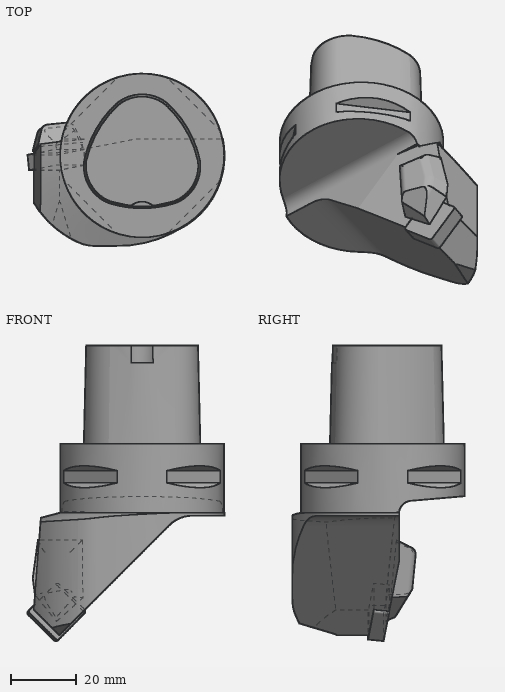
import cadquery as cq
import math


shank_height = 30.0
shank_base_radius = 17.4
shank_top_radius = 16.7
lobe_height = 1.3
lobe_half_angle = 25
key_radius = 5.0
key_depth = 5.3
key_floor_y = -14.1

flange_radius = 25.0
flange_height = 21.0
groove_floor_distance = 22.2
groove_floor_width = 3.7
groove_mouth_width = 6.7
groove_middle_z = -10.1

tip_z = -60.3
head_radius = 25.2
head_back_y = -27.6
head_front_y = 5.1
outline_left_x = -36.1
outline_left_y = -7.2
left_round_middle = (-28.45, -20.3)
left_round_end = (-19.6, -26.5)
back_blend_middle = (-17.0, -27.4)
back_flat_left_x = -14.2
back_flat_right_x = -8.1
back_round_middle = (2.2, -26.4)
back_right_x = 10.8
head_top_slope = 15
side_top_x = -30.8
side_bottom_x = -33.1
side_bottom_z = -50.7
lip_thickness = 1.0
underside_offset = 33.2
underside_round = 9.9
heel_start_y = -14.3
heel_start_z = -58.3
heel_slope = 0.3

clearance_edge_z = -16.1
clearance_inner_y = 8.2
clearance_inner_z = -17.5
clearance_round_middle = (6.1, -18.6)
clearance_wall_z = -20.6

insert_side = 12.7
insert_thickness = 4.8
insert_nose_radius = 0.8
insert_x = -26.4
insert_z = -51.7
insert_edge_y = 0.2
rake_angle = 8

clamp_top_z = -29.3
clamp_right_x = -18.1
clamp_corners = [
    (-31.6, clamp_top_z),
    (-33.3, -41.1),
    (-32.7, -46.1),
    (-26.2, -54.2),
    (clamp_right_x, -47),
    (clamp_right_x, clamp_top_z),
]
clamp_height = 6.9
clamp_taper = 20
clamp_round = 2.7
clamp_nose_top_y = 8.6
clamp_nose_top_z = -45.2
clamp_nose_slope = 0.62

reach = 72.3

rake_rise = math.tan(math.radians(rake_angle)) / math.sqrt(2)
insert_y = insert_edge_y + insert_side / 2 * math.sin(math.radians(rake_angle))
rake_plane = cq.Plane(
    origin=(insert_x, insert_y, insert_z),
    xDir=(1, rake_rise, 0),
    normal=(-rake_rise, 1, -rake_rise),
)


def lobed_point(mean_radius, angle):
    """Point of the three-lobed outline at an angle in degrees."""
    radius = mean_radius + lobe_height * math.cos(math.radians(3 * (angle - 90)))
    return radius * math.cos(math.radians(angle)), radius * math.sin(math.radians(angle))


def lobed_wire(mean_radius, z):
    """Closed outline of three lobe arcs and three flatter arcs."""
    outline = cq.Workplane("XY", origin=(0, 0, z)).moveTo(*lobed_point(mean_radius, 90 - lobe_half_angle))
    for lobe_angle in (90, 210, 330):
        outline = outline.threePointArc(
            lobed_point(mean_radius, lobe_angle),
            lobed_point(mean_radius, lobe_angle + lobe_half_angle),
        )
        outline = outline.threePointArc(
            lobed_point(mean_radius, lobe_angle + 60),
            lobed_point(mean_radius, lobe_angle + 120 - lobe_half_angle),
        )
    return outline.close().val()


def make_shank():
    base = lobed_wire(shank_base_radius, 0)
    top = lobed_wire(shank_top_radius, shank_height)
    shank = cq.Workplane(cq.Solid.makeLoft([base, top], True))
    key = (
        cq.Workplane("XY", origin=(0, key_floor_y - key_radius, shank_height - key_depth))
        .circle(key_radius)
        .extrude(key_depth)
    )
    return shank.cut(key)


def make_flange():
    flange = cq.Workplane("XY").circle(flange_radius).extrude(-flange_height)
    groove_depth = flange_radius - groove_floor_distance
    mouth_spread = (groove_mouth_width - groove_floor_width) / 2
    floor_half = groove_floor_width / 2
    outer_half = floor_half + 2 * mouth_spread
    outer_distance = groove_floor_distance + 2 * groove_depth
    groove = (
        cq.Workplane("XZ", origin=(0, 0, groove_middle_z))
        .polyline([
            (groove_floor_distance, -floor_half),
            (outer_distance, -outer_half),
            (outer_distance, outer_half),
            (groove_floor_distance, floor_half),
        ])
        .close()
        .extrude(flange_radius, both=True)
    )
    for angle in (45, 135, 225, 315):
        flange = flange.cut(groove.rotate((0, 0, 0), (0, 0, 1), angle))
    return flange


def make_head():
    front_right_x = math.sqrt(head_radius**2 - head_front_y**2)
    back_right_y = -math.sqrt(head_radius**2 - back_right_x**2)
    head = (
        cq.Workplane("XY", origin=(0, 0, tip_z))
        .moveTo(outline_left_x, head_front_y)
        .lineTo(outline_left_x, outline_left_y)
        .threePointArc(left_round_middle, left_round_end)
        .threePointArc(back_blend_middle, (back_flat_left_x, head_back_y))
        .lineTo(back_flat_right_x, head_back_y)
        .threePointArc(back_round_middle, (back_right_x, back_right_y))
        .threePointArc((head_radius, 0), (front_right_x, head_front_y))
        .close()
        .extrude(-flange_height - tip_z)
    )

    lip_z = -flange_height - lip_thickness
    tip_x = (side_bottom_x + side_bottom_z + underside_offset) / 2
    profile = (
        cq.Workplane("XZ")
        .moveTo(side_top_x, -flange_height)
        .lineTo(side_bottom_x, side_bottom_z)
        .lineTo(tip_x, tip_x - underside_offset)
        .lineTo(lip_z + underside_offset, lip_z)
        .lineTo(reach, lip_z)
        .lineTo(reach, -flange_height)
        .close()
        .extrude(reach, both=True)
        .edges(cq.selectors.NearestToPointSelector((lip_z + underside_offset, 0, lip_z)))
        .fillet(underside_round)
    )

    cone_drop = (reach - flange_radius) * math.tan(math.radians(head_top_slope))
    cone = (
        cq.Workplane("XZ")
        .polyline([
            (0, -flange_height),
            (flange_radius, -flange_height),
            (reach, -flange_height - cone_drop),
            (reach, -2 * reach),
            (0, -2 * reach),
        ])
        .close()
        .revolve(360, (0, 0), (0, 1))
    )

    heel_length = heel_start_y + reach
    heel = (
        cq.Workplane("YZ")
        .polyline([
            (heel_start_y, heel_start_z),
            (-reach, heel_start_z + heel_slope * heel_length),
            (-reach, heel_start_z - reach),
            (heel_start_y, heel_start_z - reach),
        ])
        .close()
        .extrude(reach, both=True)
    )
    return head.intersect(profile).intersect(cone).cut(heel)


def make_clearance():
    """Space removed on the +Y side, under the flange and in front of the head."""
    return (
        cq.Workplane("YZ")
        .moveTo(flange_radius, clearance_edge_z)
        .lineTo(clearance_inner_y, clearance_inner_z)
        .threePointArc(clearance_round_middle, (head_front_y, clearance_wall_z))
        .lineTo(head_front_y, -reach)
        .lineTo(reach, -reach)
        .lineTo(reach, clearance_edge_z)
        .close()
        .extrude(reach, both=True)
    )


def make_rake_cut():
    """Space in front of the rake plane, below the flange."""
    half_space = cq.Workplane(rake_plane).rect(2 * reach, 2 * reach).extrude(reach)
    below_flange = (
        cq.Workplane("XY", origin=(0, 0, clearance_wall_z))
        .rect(2 * reach, 2 * reach)
        .extrude(-reach)
    )
    return half_space.intersect(below_flange)


def make_clamp():
    outline = [(x - insert_x, insert_z - z) for x, z in clamp_corners]
    clamp = (
        cq.Workplane(rake_plane)
        .polyline(outline)
        .close()
        .extrude(clamp_height, taper=clamp_taper)
        .faces(cq.selectors.DirectionMinMaxSelector(rake_plane.zDir, True))
        .edges()
        .fillet(clamp_round)
    )

    nose_cut = (
        cq.Workplane("YZ")
        .polyline([
            (clamp_nose_top_y + clamp_nose_slope * reach, clamp_nose_top_z + reach),
            (clamp_nose_top_y - clamp_nose_slope * reach, clamp_nose_top_z - reach),
            (clamp_nose_top_y + clamp_nose_slope * reach, clamp_nose_top_z - reach),
        ])
        .close()
        .extrude(reach, both=True)
    )
    return clamp.cut(nose_cut)


def make_insert():
    return (
        cq.Workplane(rake_plane)
        .transformed(rotate=(0, 0, 45))
        .rect(insert_side, insert_side)
        .extrude(-insert_thickness)
        .edges(cq.selectors.ParallelDirSelector(rake_plane.zDir))
        .fillet(insert_nose_radius)
    )


insert = make_insert()
holder = make_flange().union(make_head()).cut(make_clearance()).cut(make_rake_cut())
holder = holder.union(make_shank()).union(make_clamp()).cut(insert)

result = cq.Compound.makeCompound([*holder.solids().vals(), *insert.solids().vals()])